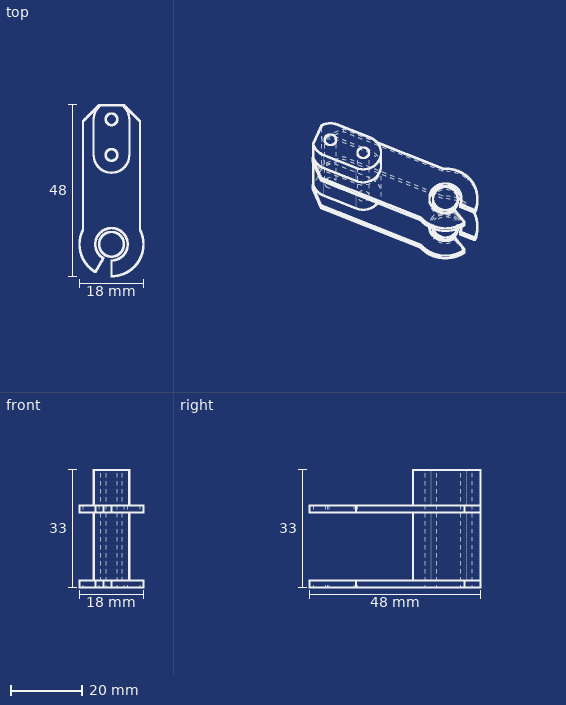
import cadquery as cq
import math

total_length = 48.0
total_height = 33.0
arm_thickness = 2.0
arm_width = 16.0
upper_arm_base = 21.0
corner_chamfer = 4.5

hook_outer_diameter = 18.0
hook_inner_diameter = 9.0
mouth_start_angle = 240.0
mouth_end_angle = 270.0

post_width = 10.0
hole_diameter = 3.2
hole_spacing = 10.0
hole_edge_distance = 4.0

disc_diameter = 7.0

hook_radius = hook_outer_diameter / 2
back_y = total_length - hook_radius
rear_hole_y = back_y - hole_edge_distance
front_hole_y = rear_hole_y - hole_spacing
arm_bases = [0.0, upper_arm_base]


def make_arm(base_z):
    """Flat arm with two cut corners at the back and an open ring hook at the front."""
    level = cq.Workplane("XY").workplane(offset=base_z)
    strip = (
        level.center(0, back_y / 2)
        .rect(arm_width, back_y)
        .extrude(arm_thickness)
        .edges("|Z and >Y")
        .chamfer(corner_chamfer)
    )
    ring = level.circle(hook_radius).extrude(arm_thickness)
    bore = level.circle(hook_inner_diameter / 2).extrude(arm_thickness)
    return strip.union(ring).cut(bore).cut(make_mouth(level))


def make_mouth(level):
    """Wedge with radial sides, long enough to pass through the hook's rim."""
    reach = hook_outer_diameter
    corners = [(0, 0)]
    for angle in (mouth_start_angle, mouth_end_angle):
        direction = math.radians(angle)
        corners.append((reach * math.cos(direction), reach * math.sin(direction)))
    return level.polyline(corners).close().extrude(arm_thickness)


def make_post():
    """Upright post with rounded ends, cut flat at the back of the arms."""
    slot_length = hole_spacing + post_width
    slot_y = (rear_hole_y + front_hole_y) / 2
    post = (
        cq.Workplane("XY")
        .center(0, slot_y)
        .slot2D(slot_length, post_width, 90)
        .extrude(total_height)
    )
    behind_arms = (
        cq.Workplane("XY")
        .center(0, back_y + post_width / 2)
        .rect(post_width, post_width)
        .extrude(total_height)
    )
    return post.cut(behind_arms)


def make_bracket():
    """Post and both arms as one solid, with two holes running its full height."""
    bracket = make_post()
    for base_z in arm_bases:
        bracket = bracket.union(make_arm(base_z))
    holes = (
        cq.Workplane("XY")
        .pushPoints([(0, rear_hole_y), (0, front_hole_y)])
        .circle(hole_diameter / 2)
        .extrude(total_height)
    )
    return bracket.cut(holes)


def make_disc(base_z):
    """Loose disc centred in a hook and level with both faces of its arm."""
    return cq.Workplane("XY").workplane(offset=base_z).circle(disc_diameter / 2).extrude(arm_thickness)


bracket = make_bracket()
discs = [make_disc(base_z).val() for base_z in arm_bases]

result = cq.Compound.makeCompound([bracket.val(), *discs])